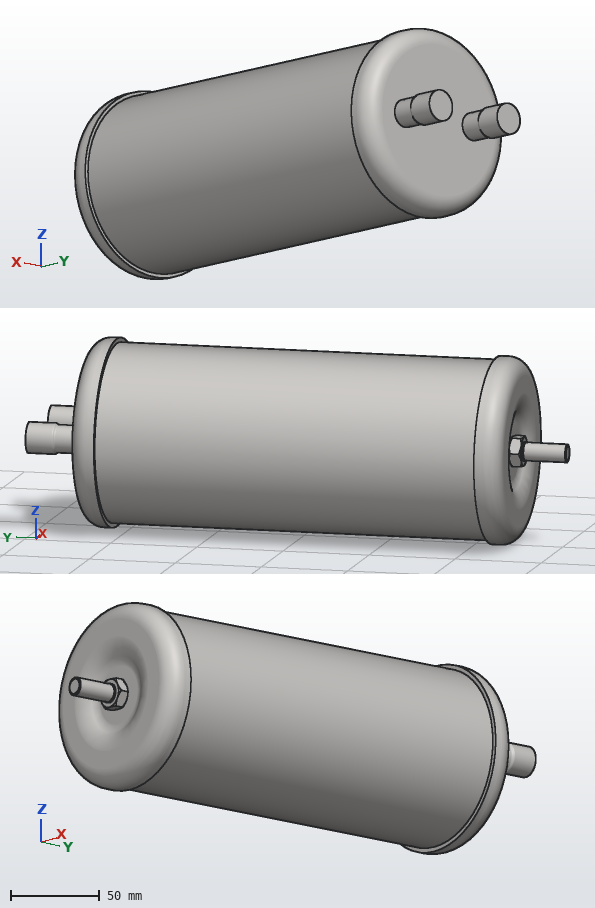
import cadquery as cq
import math

vessel_length = 250.0
shell_radius = 51.2
front_cap_radius = 53.3
rear_cap_diameter = 107.5
rear_cap_radius = rear_cap_diameter / 2
cap_lip = 4.5
cap_rounding = 10.0

recess_mouth_radius = 32.8
recess_bend_radius = 22.0
recess_floor_radius = 17.0
recess_depth = 5.5

nut_across_flats = 16.2
nut_protrusion = 1.2
nut_chamfer_rise = 1.0
stub_radius = 5.2
stub_protrusion = 26.7
stub_tip_chamfer_length = 0.45
stub_tip_chamfer_depth = 1.0
collar_radius = 5.5
collar_height = 1.0

pipe_spacing = 52.0
pipe_length = 29.7
pipe_radius = 8.0
pipe_socket_radius = 9.0
pipe_socket_length = 15.0
pipe_flare_length = 2.0


def make_shell_and_caps():
    """Revolved vessel: plain shell between two wider caps, dished at the front."""
    cap_length = cap_lip + cap_rounding
    bend_depth = recess_depth * (recess_mouth_radius - recess_bend_radius) / (
        recess_mouth_radius - recess_floor_radius
    )
    return (
        cq.Workplane("XY")
        .moveTo(0, vessel_length)
        .lineTo(rear_cap_radius - cap_rounding, vessel_length)
        .tangentArcPoint((cap_rounding, -cap_rounding))
        .lineTo(rear_cap_radius, vessel_length - cap_length)
        .lineTo(shell_radius, vessel_length - cap_length)
        .lineTo(shell_radius, cap_length)
        .lineTo(front_cap_radius, cap_length)
        .lineTo(front_cap_radius, cap_rounding)
        .tangentArcPoint((-cap_rounding, -cap_rounding))
        .lineTo(recess_mouth_radius, 0)
        .tangentArcPoint((recess_bend_radius, bend_depth), relative=False)
        .tangentArcPoint((recess_floor_radius, recess_depth), relative=False)
        .lineTo(0, recess_depth)
        .close()
        .revolve(360, (0, 0), (0, 1))
    )


def make_fitting():
    """Hex nut with corners chamfered at both ends and the stub that passes through it."""
    nut_height = recess_depth + nut_protrusion
    nut_corner_diameter = nut_across_flats / math.cos(math.pi / 6)
    corner_overhang = (nut_corner_diameter - nut_across_flats) / 2
    floor_plane = cq.Workplane("XZ", origin=(0, recess_depth, 0))
    hexagon = floor_plane.polygon(6, nut_corner_diameter).extrude(nut_height)
    chamfered_blank = (
        floor_plane.circle(nut_corner_diameter / 2)
        .extrude(nut_height)
        .faces("|Y")
        .chamfer(nut_chamfer_rise, corner_overhang)
    )
    stub = (
        floor_plane.circle(stub_radius)
        .extrude(recess_depth + stub_protrusion)
        .faces("<Y")
        .chamfer(stub_tip_chamfer_length, stub_tip_chamfer_depth)
    )
    collar = floor_plane.circle(collar_radius).extrude(nut_height + collar_height)
    return hexagon.intersect(chamfered_blank).union(collar).union(stub)


def make_pipe(x):
    """Pipe standing on the rear face, widened smoothly to a socket at its free end."""
    end = vessel_length + pipe_length
    socket_start = end - pipe_socket_length
    flare_middle = (
        (pipe_radius + pipe_socket_radius) / 2,
        socket_start - pipe_flare_length / 2,
    )
    return (
        cq.Workplane("XY", origin=(x, 0, 0))
        .moveTo(0, vessel_length)
        .lineTo(pipe_radius, vessel_length)
        .lineTo(pipe_radius, socket_start - pipe_flare_length)
        .tangentArcPoint(flare_middle, relative=False)
        .tangentArcPoint((pipe_socket_radius, socket_start), relative=False)
        .lineTo(pipe_socket_radius, end)
        .lineTo(0, end)
        .close()
        .revolve(360, (0, 0), (0, 1))
    )


vessel = make_shell_and_caps().union(make_fitting())
pipes = [make_pipe(side * pipe_spacing / 2) for side in (-1, 1)]

result = cq.Compound.makeCompound([vessel.val(), *[pipe.val() for pipe in pipes]])